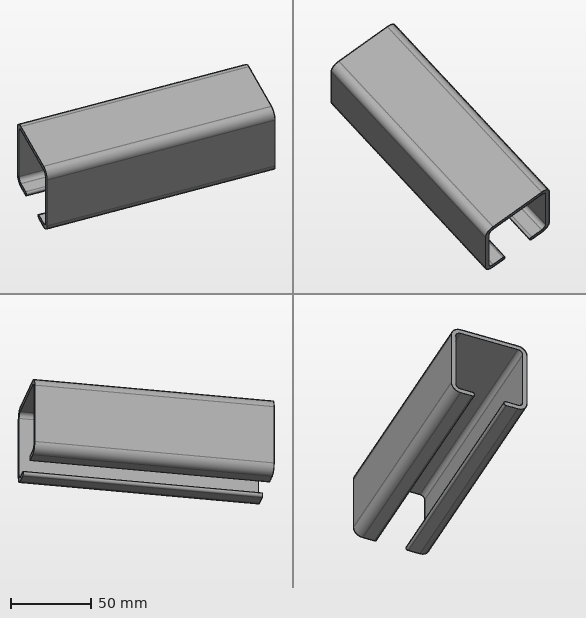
import cadquery as cq

width = 51.5
height = 51.5
length = 152.4
wall = 3.0
outer_radius = 6.2
slot_width = 20.0

inner_radius = outer_radius - wall
lip_radius = wall / 2
lip_center_x = slot_width / 2 + lip_radius
lip_center_z = -height / 2 + lip_radius


def rounded_bar(bar_width, bar_height, corner_radius):
    """Bar along Y with its four long edges rounded."""
    return cq.Workplane("XY").box(bar_width, length, bar_height).edges("|Y").fillet(corner_radius)


def bottom_slot():
    """Opening through the bottom wall, reaching to the centers of the lip rounds."""
    return cq.Workplane("XY").box(2 * lip_center_x, length, wall).translate((0, 0, lip_center_z))


def lip_rounds():
    """Round rods that give both lips their full-round edges."""
    return (
        cq.Workplane("XZ")
        .pushPoints([(-lip_center_x, lip_center_z), (lip_center_x, lip_center_z)])
        .circle(lip_radius)
        .extrude(length / 2, both=True)
    )


outer = rounded_bar(width, height, outer_radius)
cavity = rounded_bar(width - 2 * wall, height - 2 * wall, inner_radius)
result = outer.cut(cavity).cut(bottom_slot()).union(lip_rounds())